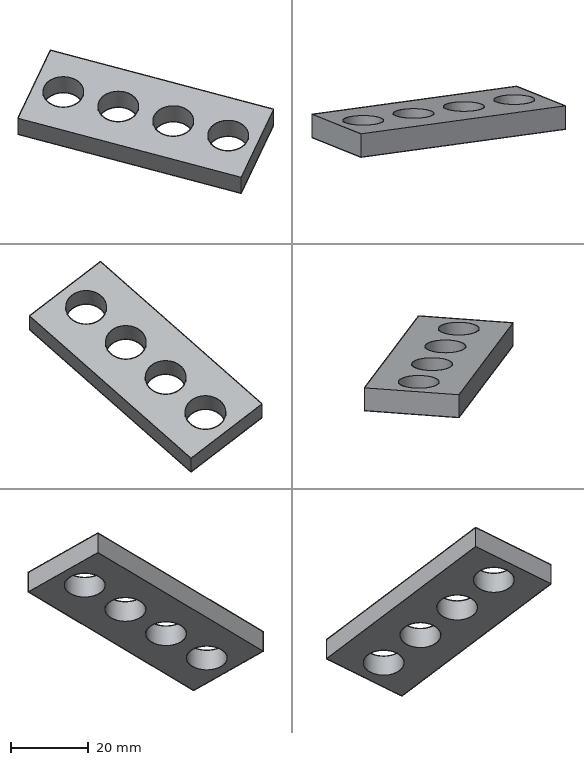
import cadquery as cq

length = 61.0
width = 25.0
thickness = 6.2

hole_count = 4
hole_diameter = 10.5
hole_pitch = 15.0

plate = cq.Workplane("XY").box(length, width, thickness)

result = (
    plate.faces(">Z")
    .workplane()
    .rarray(hole_pitch, 0.6, hole_count, 1)
    .hole(hole_diameter)
)